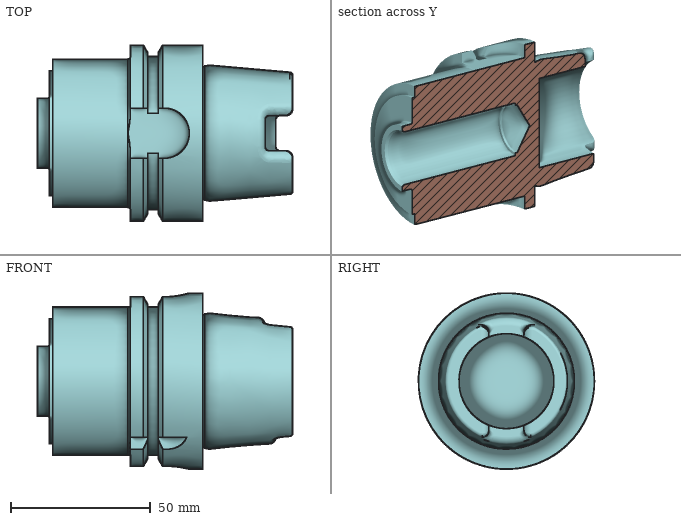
import cadquery as cq
import math

total_length = 91.3

nose_diameter = 25.0
nose_fillet = 0.55
disc_diameter = 44.7
disc_face_x = 4.3
body_face_x = 5.5

body_diameter = 53.0
body_fillet = 0.8

flange_diameter = 63.0
flange_start_x = 33.2
flange_end_x = 59.2
groove_diameter = 55.0
groove_floor_start_x = 39.5
groove_floor_width = 3.65
groove_flank_width = 1.6
groove_flank_foot_diameter = 57.5

relief_diameter = 47.7
relief_width = 0.6
collar_diameter = 48.0
taper_start_x = 61.6
taper_large_diameter = 48.7
taper_small_diameter = 43.5
shank_end_fillet = 1.1
shank_bore_diameter = 34.0
shank_bore_depth = 30.1

tool_bore_diameter = 20.0
tool_bore_depth = 50.2
tool_bore_chamfer_height = 0.55
tool_bore_chamfer_length = 1.0
drill_diameter = 18.0
drill_depth = 51.1
drill_tip_length = 5.5

keyway_end_x = 54.3
wide_keyway_width = 18.0
narrow_keyway_width = 16.0
orientation_notch_offset = 20.0

drive_slot_width = 12.5
top_slot_start_x = 81.4
bottom_slot_start_x = 85.3
top_slot_edge_fillet = 2.9
bottom_slot_edge_fillet = 2.5
slot_corner_radius = 1.5

body_radius = body_diameter / 2
flange_radius = flange_diameter / 2
shank_wall_middle_radius = (shank_bore_diameter + taper_small_diameter) / 4

pick_margin = 0.05


def turned_body():
    """Revolve the outer profile of the holder about the X axis."""
    groove_radius = groove_diameter / 2
    flank_foot_radius = groove_flank_foot_diameter / 2
    groove_floor_end_x = groove_floor_start_x + groove_floor_width
    profile = [
        (0, 0),
        (0, nose_diameter / 2),
        (disc_face_x, nose_diameter / 2),
        (disc_face_x, disc_diameter / 2),
        (body_face_x, disc_diameter / 2),
        (body_face_x, body_radius),
        (flange_start_x, body_radius),
        (flange_start_x, flange_radius),
        (groove_floor_start_x - groove_flank_width, flange_radius),
        (groove_floor_start_x, flank_foot_radius),
        (groove_floor_start_x, groove_radius),
        (groove_floor_end_x, groove_radius),
        (groove_floor_end_x, flank_foot_radius),
        (groove_floor_end_x + groove_flank_width, flange_radius),
        (flange_end_x, flange_radius),
        (flange_end_x, relief_diameter / 2),
        (flange_end_x + relief_width, relief_diameter / 2),
        (flange_end_x + relief_width, collar_diameter / 2),
        (taper_start_x, taper_large_diameter / 2),
        (total_length, taper_small_diameter / 2),
        (total_length, 0),
    ]
    solid = cq.Workplane("XY").polyline(profile).close().revolve(360, (0, 0, 0), (1, 0, 0))
    solid = fillet_circle(solid, disc_face_x, nose_diameter / 2, nose_fillet)
    return fillet_circle(solid, flange_start_x, body_radius, body_fillet)


def fillet_circle(solid, x, radius, fillet):
    """Round the full circular edge that lies at the given X and radius."""
    circles = [
        edge
        for edge in solid.edges("%CIRCLE").vals()
        if abs(edge.startPoint().x - x) < pick_margin
        and abs(edge.endPoint().x - x) < pick_margin
        and abs(edge.radius() - radius) < pick_margin
    ]
    return solid.newObject(circles).fillet(fillet)


def tool_bore():
    """Chamfered tool bore followed by a smaller drilled hole with a conical tip."""
    bore_radius = tool_bore_diameter / 2
    profile = [
        (0, 0),
        (0, bore_radius + tool_bore_chamfer_height),
        (tool_bore_chamfer_length, bore_radius),
        (tool_bore_depth, bore_radius),
        (tool_bore_depth, drill_diameter / 2),
        (drill_depth, drill_diameter / 2),
        (drill_depth + drill_tip_length, 0),
    ]
    return cq.Workplane("XY").polyline(profile).close().revolve(360, (0, 0, 0), (1, 0, 0))


def shank_bore():
    """Blind bore that hollows the shank from its end face."""
    return (
        cq.Workplane("YZ", origin=(total_length, 0, 0))
        .circle(shank_bore_diameter / 2)
        .extrude(-shank_bore_depth)
    )


def keyway(width, z_start, z_end, y=0):
    """Round-ended slot along X that opens through the chuck-side face of the flange."""
    radius = width / 2
    start_x = flange_start_x - body_fillet
    return (
        cq.Workplane("XY", origin=(0, y, z_start))
        .moveTo(start_x, -radius)
        .lineTo(keyway_end_x - radius, -radius)
        .threePointArc((keyway_end_x, 0), (keyway_end_x - radius, radius))
        .lineTo(start_x, radius)
        .close()
        .extrude(z_end - z_start)
    )


def axis_distance(point):
    """Distance of a point from the X axis."""
    return math.hypot(point.y, point.z)


def cut_drive_slot(solid, start_x, side, edge_fillet):
    """Cut a slot through the +Z (side=1) or -Z (side=-1) shank wall and round its rim and mouth."""
    slot = (
        cq.Workplane("XY")
        .box(total_length - start_x, drive_slot_width, flange_radius, centered=(False, True, False))
        .edges("|Z and <X")
        .fillet(slot_corner_radius)
        .translate((start_x, 0, 0 if side > 0 else -flange_radius))
    )
    slotted = solid.cut(slot)
    rim = []
    for edge in slotted.edges().vals():
        middle = edge.Center()
        on_slot = (
            middle.x > start_x - pick_margin
            and abs(middle.y) < drive_slot_width / 2 + pick_margin
            and middle.z * side > 0
        )
        ends = (edge.startPoint(), edge.endPoint())
        outside = min(axis_distance(end) for end in ends) > shank_wall_middle_radius
        at_mouth = middle.x > total_length - pick_margin
        if on_slot and (outside or at_mouth):
            rim.append(edge)
    return slotted.newObject(rim).fillet(edge_fillet)


def round_shank_end(solid):
    """Round the outer arcs left on the end face between the drive slots."""
    arcs = [
        edge
        for edge in solid.faces(">X").edges("%CIRCLE").vals()
        if edge.radius() > shank_wall_middle_radius
    ]
    return solid.newObject(arcs).fillet(shank_end_fillet)


result = turned_body().cut(tool_bore()).cut(shank_bore())

result = result.cut(keyway(wide_keyway_width, body_radius, flange_radius))
result = result.cut(keyway(narrow_keyway_width, -flange_radius, -body_radius))

notch_y = -orientation_notch_offset - narrow_keyway_width / 2
result = result.cut(keyway(narrow_keyway_width, -flange_radius, -orientation_notch_offset, notch_y))

result = cut_drive_slot(result, top_slot_start_x, 1, top_slot_edge_fillet)
result = cut_drive_slot(result, bottom_slot_start_x, -1, bottom_slot_edge_fillet)
result = round_shank_end(result)